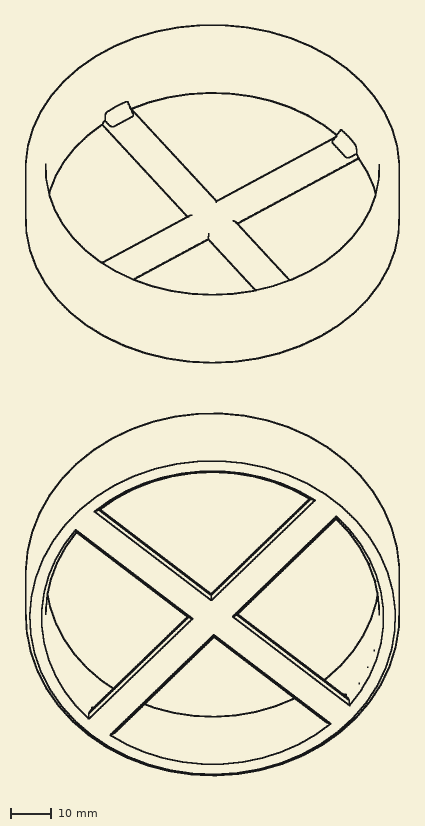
import cadquery as cq
import math

outer_diameter = 93.0
inner_diameter = 83.0
height = 22.0
rim_round = 1.0
bottom_bevel = 0.7

bar_width = 8.6
bar_thickness = 1.95
bar_round = 0.7
bar_bevel = 0.7

gusset_run = 3.0
gusset_round = 0.7

inner_radius = inner_diameter / 2
wall = (outer_diameter - inner_diameter) / 2
gusset_width = bar_width - 2 * bar_round
embed = wall / 2


def make_ring():
    """Revolved wall with rounded top rims and bevelled bottom rims blended into the sides."""
    arc_drop = rim_round * math.sin(math.radians(45))
    arc_inset = rim_round - arc_drop
    mid_drop = rim_round * math.sin(math.radians(22.5))
    mid_inset = rim_round * (1 - math.cos(math.radians(22.5)))
    blend_top = bottom_bevel + arc_drop
    blend_middle = blend_top - mid_drop
    foot_inset = arc_inset + bottom_bevel

    outer_radius = outer_diameter / 2
    profile = (
        cq.Workplane("XZ")
        .moveTo(inner_radius + foot_inset, 0)
        .lineTo(outer_radius - foot_inset, 0)
        .lineTo(outer_radius - arc_inset, bottom_bevel)
        .threePointArc((outer_radius - mid_inset, blend_middle), (outer_radius, blend_top))
        .lineTo(outer_radius, height)
        .lineTo(inner_radius, height)
        .lineTo(inner_radius, blend_top)
        .threePointArc((inner_radius + mid_inset, blend_middle), (inner_radius + arc_inset, bottom_bevel))
        .close()
    )
    ring = profile.revolve(360, (0, 0, 0), (0, 1, 0))
    return ring.faces(">Z").edges().fillet(rim_round)


def make_cross():
    length = 2 * (inner_radius + embed)
    bar_x = cq.Workplane("XY").box(length, bar_width, bar_thickness, centered=(True, True, False))
    bar_y = bar_x.rotate((0, 0, 0), (0, 0, 1), 90)
    cross = bar_x.union(bar_y)
    reach = inner_radius + embed / 2
    long_edges = cq.selectors.BoxSelector((-reach, -reach, -height), (reach, reach, height))
    cross = cross.faces(">Z").edges(long_edges).fillet(bar_round)
    return cross.faces("<Z").edges(long_edges).chamfer(bar_bevel)


def make_gusset():
    """Wedge on the +X bar, rising at 45 degrees toward the wall."""
    foot = inner_radius - gusset_run
    back = inner_radius + embed
    profile = [
        (foot - bar_thickness, 0),
        (back, 0),
        (back, bar_thickness + gusset_run + embed),
    ]
    wedge = (
        cq.Workplane("XZ")
        .polyline(profile)
        .close()
        .extrude(gusset_width / 2, both=True)
    )
    return wedge.edges("not(|X or |Y or |Z)").fillet(gusset_round)


result = make_ring().union(make_cross())
gusset = make_gusset()
for quarter in range(4):
    result = result.union(gusset.rotate((0, 0, 0), (0, 0, 1), 90 * quarter))